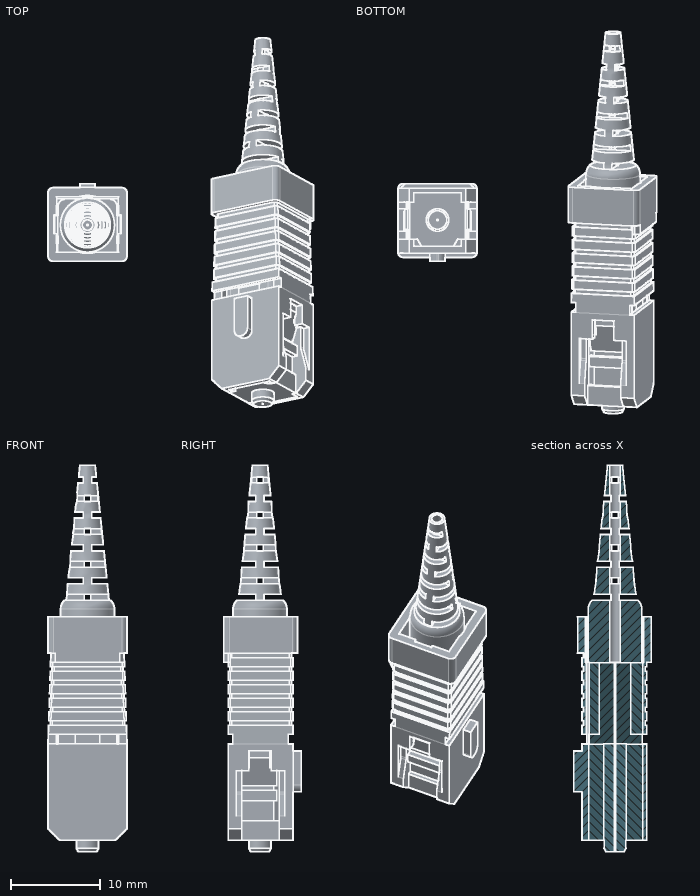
import cadquery as cq
import math


TIP_TOP = 0.4
FRONT = 1.3
BLOCK_TOP = 12.0
NECK_TOP = 13.07
BAND_TOP = 14.1
HEAD_BOTTOM = 22.1
HEAD_TOP = 26.15
FRAME_TOP = 21.05
CONE_BOTTOM = 28.0
TOTAL_HEIGHT = 43.0

GRIP_Y = 0.065
WIDTH = 8.8
HEAD_DEPTH = 8.2
HEAD_RADIUS = 0.6
BODY_DEPTH = 7.22
BODY_TOP_WIDTH = 8.15
EDGE_CHAMFER = 0.25
FRONT_CHAMFER = 1.3
RIB_COUNT = 5
RIB_TOP = 21.6
RIB_PITCH = (RIB_TOP - BAND_TOP) / RIB_COUNT
RIB_GAP = 0.47
GROOVE_DEPTH = 0.17
LIP_HEIGHT = 1.05

KEY_WIDTH = 1.7
KEY_TOP_Y = 4.6
KEY_BOTTOM = 6.65
KEY_RADIUS = 0.77

CAVITY_WIDTH = 6.85
CAVITY_DEPTH = 6.2
CAVITY_RADIUS = 3.22
GUIDE_WIDTH = 2.05
GUIDE_X = 3.7
SLOT_WIDTH = 2.45
SLOT_TOP = 11.22
WINDOW_WIDTH = 4.13
WINDOW_TOP = 9.05
RAIL_WIDTH = 5.4
RAIL_LEDGE = 6.7
RAIL_STEP_HEIGHT = 0.25
RAIL_STEP_DEPTH = 0.05
RAIL_BOTTOM = 4.0

FRAME_Y = -0.065
FRAME_WIDTH = 6.6
FRAME_DEPTH = 5.95
FRAME_RADIUS = 0.85
CAP_TOP = 3.5
CAP_WIDTH = 6.2
CORE_HALF_WIDTH = 2.62
CORE_FLAT_Y = 1.5
CORE_CHAMFER_ANGLE = 31
BAR_WIDTH = 3.85
BAR_BOTTOM = 5.68
BAR_TOP = 6.85
RAMP_BOTTOM = 7.35
RAMP_TOP = 10.45
RAMP_X = 3.65
NUB_WIDTH = 2.3

HOLDER_SIDE = 3.45
TAB_WIDTH = 2.7
FERRULE_RADIUS = 1.25
TIP_RADIUS = 1.05
FIBRE_RADIUS = 0.065
COLLAR_RADIUS = 3.0
COLLAR_SHOULDER = 27.0
COLLAR_TOP_RADIUS = 2.55
CONE_BOTTOM_RADIUS = 2.4
CONE_TOP_RADIUS = 0.85
BOOT_BORE_RADIUS = 0.58
BOOT_SLOTS = 7
BOOT_SLOT_PITCH = 1.828
BOOT_SLOT_HEIGHT = 0.65
LAST_SLOT_BOTTOM = 41.02
BRIDGE_WIDTH = 0.95


def block(x_range, y_range, z_range):
    """Box given by its limits along each axis."""
    sizes = [high - low for low, high in (x_range, y_range, z_range)]
    corner = (x_range[0], y_range[0], z_range[0])
    return cq.Workplane().box(*sizes, centered=False).translate(corner)


def centred(middle, width):
    return middle - width / 2, middle + width / 2


def cylinder(radius, bottom, top, y=0):
    return cq.Workplane().workplane(offset=bottom).center(0, y).circle(radius).extrude(top - bottom)


def on_both_sides(solid):
    """A -X side feature together with its mirror image on the +X side."""
    return solid.union(solid.mirror("YZ"))


def body_half_width(z):
    """Half width of the grip body, which narrows evenly from the block to the head."""
    fraction = (z - BLOCK_TOP) / (HEAD_BOTTOM - BLOCK_TOP)
    return (WIDTH + fraction * (BODY_TOP_WIDTH - WIDTH)) / 2


def body_slice(bottom, top, inset=0, chamfer=EDGE_CHAMFER):
    """Slice of the narrowing grip body, with 45-degree corners where chamfer is not 0."""
    half_depth = BODY_DEPTH / 2 - inset
    wires = []
    for z in (bottom, top):
        half_width = body_half_width(z) - inset
        wire = cq.Workplane().workplane(offset=z).center(0, GRIP_Y).rect(2 * half_width, 2 * half_depth)
        wires.append(wire.val())
    solid = cq.Workplane(cq.Solid.makeLoft(wires, True))
    if chamfer:
        solid = solid.edges("not #Z").edges("not |X").edges("not |Y").chamfer(chamfer)
    return solid


def front_block():
    solid = block(centred(0, WIDTH), centred(GRIP_Y, BODY_DEPTH), (FRONT, BLOCK_TOP))
    return solid.edges("<Z and |Y").chamfer(FRONT_CHAMFER)


def key():
    solid = block(centred(0, KEY_WIDTH), (GRIP_Y, KEY_TOP_Y), (KEY_BOTTOM, SLOT_TOP))
    return solid.edges("<Z and |Y").fillet(KEY_RADIUS)


def ribbed_body():
    solid = body_slice(BLOCK_TOP, BAND_TOP, chamfer=0)
    solid = solid.union(body_slice(BAND_TOP, HEAD_BOTTOM, GROOVE_DEPTH))
    for i in range(RIB_COUNT):
        bottom = BAND_TOP + RIB_GAP + i * RIB_PITCH
        solid = solid.union(body_slice(bottom, bottom + RIB_PITCH - RIB_GAP))
    return solid


def head():
    solid = block(centred(0, WIDTH), centred(GRIP_Y, HEAD_DEPTH), (HEAD_BOTTOM, HEAD_TOP))
    return solid.edges("|Z").fillet(HEAD_RADIUS)


def lip():
    """Piece of the head that reaches down over the top rib on the -Y side, with 45-degree ends."""
    outer_y = GRIP_Y - HEAD_DEPTH / 2
    inner_y = GRIP_Y - BODY_DEPTH / 2
    inner_x = BODY_TOP_WIDTH / 2
    outer_x = inner_x - (inner_y - outer_y)
    side = [(outer_x, outer_y), (inner_x, inner_y), (inner_x, inner_y + EDGE_CHAMFER)]
    points = side + [(-x, y) for x, y in reversed(side)]
    bottom = HEAD_BOTTOM - LIP_HEIGHT
    return cq.Workplane().workplane(offset=bottom).polyline(points).close().extrude(LIP_HEIGHT)


def grip_cavity():
    """Opening through the grip: close round the frame in front, and wider behind.

    The wide part has side guides for the nubs and room for the boot collar.
    """
    solid = block(centred(0, CAVITY_WIDTH), centred(GRIP_Y, CAVITY_DEPTH), (BLOCK_TOP, HEAD_TOP))
    frame_sides = centred(FRAME_Y, FRAME_DEPTH)
    solid = solid.union(block(centred(0, CAVITY_WIDTH), frame_sides, (WINDOW_TOP, BLOCK_TOP)))
    solid = solid.union(block(centred(0, 2 * CORE_HALF_WIDTH), frame_sides, (FRONT, WINDOW_TOP)))
    solid = solid.union(block((-GUIDE_X, GUIDE_X), centred(GRIP_Y, GUIDE_WIDTH), (SLOT_TOP, HEAD_TOP)))
    return solid.union(cylinder(CAVITY_RADIUS, FRAME_TOP, HEAD_TOP, GRIP_Y))


def side_window():
    """Stepped window through the -X wall, flanked by rails that ramp up to the wall face."""
    wall = (-WIDTH / 2, 0)
    slot = block(wall, centred(0, SLOT_WIDTH), (WINDOW_TOP, SLOT_TOP))
    window = block(wall, centred(GRIP_Y, WINDOW_WIDTH), (FRONT, WINDOW_TOP))
    rails = (
        cq.Workplane("XZ", origin=(0, GRIP_Y + RAIL_WIDTH / 2, 0))
        .moveTo(-WIDTH / 2, RAIL_BOTTOM)
        .lineTo(-WIDTH / 2, WINDOW_TOP)
        .lineTo(-GUIDE_X, WINDOW_TOP)
        .lineTo(-GUIDE_X, RAIL_LEDGE)
        .lineTo(-GUIDE_X - RAIL_STEP_DEPTH, RAIL_LEDGE - RAIL_STEP_HEIGHT)
        .close()
        .extrude(RAIL_WIDTH)
    )
    return slot.union(window).union(rails)


def make_grip():
    solid = front_block().union(key()).union(ribbed_body()).union(head()).union(lip())
    neck = block((-WIDTH, WIDTH), (-WIDTH, WIDTH), (BLOCK_TOP, NECK_TOP))
    neck = neck.cut(block((-WIDTH, WIDTH), centred(GRIP_Y, CAVITY_DEPTH), (BLOCK_TOP, NECK_TOP)))
    return solid.cut(neck).cut(grip_cavity()).cut(on_both_sides(side_window()))


def frame_core():
    """Narrow front part of the frame, with sloping corners on the +Y side."""
    low_y, high_y = centred(FRAME_Y, FRAME_DEPTH)
    top_x = CORE_HALF_WIDTH - (high_y - CORE_FLAT_Y) * math.tan(math.radians(CORE_CHAMFER_ANGLE))
    side = [(CORE_HALF_WIDTH, low_y), (CORE_HALF_WIDTH, CORE_FLAT_Y), (top_x, high_y)]
    points = side + [(-x, y) for x, y in reversed(side)]
    return cq.Workplane().workplane(offset=FRONT).polyline(points).close().extrude(SLOT_TOP - FRONT)


def ramp():
    """Ramp on the -X side that leans outward to a nub in the slot of the grip."""
    profile = [
        (0, RAMP_BOTTOM), (-CORE_HALF_WIDTH, RAMP_BOTTOM),
        (-RAMP_X, RAMP_TOP), (-RAMP_X, SLOT_TOP), (0, SLOT_TOP),
    ]
    start = (0, FRAME_Y + BAR_WIDTH / 2, 0)
    solid = cq.Workplane("XZ", origin=start).polyline(profile).close().extrude(BAR_WIDTH)
    wide = block((-FRAME_WIDTH / 2, 0), centred(FRAME_Y, BAR_WIDTH), (RAMP_BOTTOM, SLOT_TOP))
    nub = block((-RAMP_X, 0), centred(FRAME_Y, NUB_WIDTH), (RAMP_BOTTOM, SLOT_TOP))
    return solid.intersect(wide.union(nub))


def make_frame():
    sides = centred(FRAME_Y, FRAME_DEPTH)
    half = (-FRAME_WIDTH / 2, FRAME_WIDTH / 2)
    rear = block(half, sides, (SLOT_TOP, FRAME_TOP)).edges("|Z and >Y").fillet(FRAME_RADIUS)
    cap = block(centred(0, CAP_WIDTH), centred(GRIP_Y, WINDOW_WIDTH), (FRONT, CAP_TOP))
    bar = block(half, centred(FRAME_Y, BAR_WIDTH), (BAR_BOTTOM, BAR_TOP))
    solid = rear.union(cap).union(frame_core()).union(bar).union(on_both_sides(ramp()))
    return solid.cut(holder_blank()).cut(cylinder(FERRULE_RADIUS, FRONT, BLOCK_TOP))


def holder_blank():
    """Square block behind the ferrule, with a tab at its foot that reaches through the frame."""
    side = centred(0, HOLDER_SIDE)
    tab = block(centred(0, TAB_WIDTH), centred(FRAME_Y, FRAME_DEPTH), (BLOCK_TOP, NECK_TOP))
    return block(side, side, (BLOCK_TOP, FRAME_TOP)).union(tab)


def make_holder():
    return holder_blank().cut(cylinder(FIBRE_RADIUS, BLOCK_TOP, FRAME_TOP))


def make_ferrule():
    profile = [
        (FIBRE_RADIUS, 0), (TIP_RADIUS, 0), (FERRULE_RADIUS, TIP_TOP),
        (FERRULE_RADIUS, BLOCK_TOP), (FIBRE_RADIUS, BLOCK_TOP),
    ]
    return cq.Workplane("XZ").polyline(profile).close().revolve(360, (0, 0), (0, 1))


def boot_slot(index, bottom):
    """Pair of cuts that leaves two bridges: on the X sides for even slots, on the Y sides for odd ones."""
    height = (bottom, bottom + BOOT_SLOT_HEIGHT)
    reach = (-COLLAR_RADIUS, COLLAR_RADIUS)
    pair = block(reach, reach, height).cut(block(reach, centred(0, BRIDGE_WIDTH), height))
    return pair.rotate((0, 0, 0), (0, 0, 1), 90 * (index % 2))


def make_boot():
    collar = (
        cq.Workplane("XZ")
        .moveTo(0, FRAME_TOP)
        .lineTo(COLLAR_RADIUS, FRAME_TOP)
        .lineTo(COLLAR_RADIUS, COLLAR_SHOULDER)
        .tangentArcPoint((COLLAR_TOP_RADIUS, CONE_BOTTOM), relative=False)
        .lineTo(0, CONE_BOTTOM)
        .close()
        .revolve(360, (0, 0), (0, 1))
    )
    cone = cq.Workplane(
        cq.Solid.makeCone(
            CONE_BOTTOM_RADIUS, CONE_TOP_RADIUS, TOTAL_HEIGHT - CONE_BOTTOM, cq.Vector(0, 0, CONE_BOTTOM)
        )
    )
    bottoms = [CONE_BOTTOM + i * BOOT_SLOT_PITCH for i in range(BOOT_SLOTS)] + [LAST_SLOT_BOTTOM]
    for i, bottom in enumerate(bottoms):
        cone = cone.cut(boot_slot(i, bottom))
    return collar.union(cone).cut(cylinder(BOOT_BORE_RADIUS, FRAME_TOP, TOTAL_HEIGHT))


grip = make_grip()
frame = make_frame()
holder = make_holder()
ferrule = make_ferrule()
boot = make_boot()
result = cq.Compound.makeCompound([grip.val(), frame.val(), holder.val(), ferrule.val(), boot.val()])